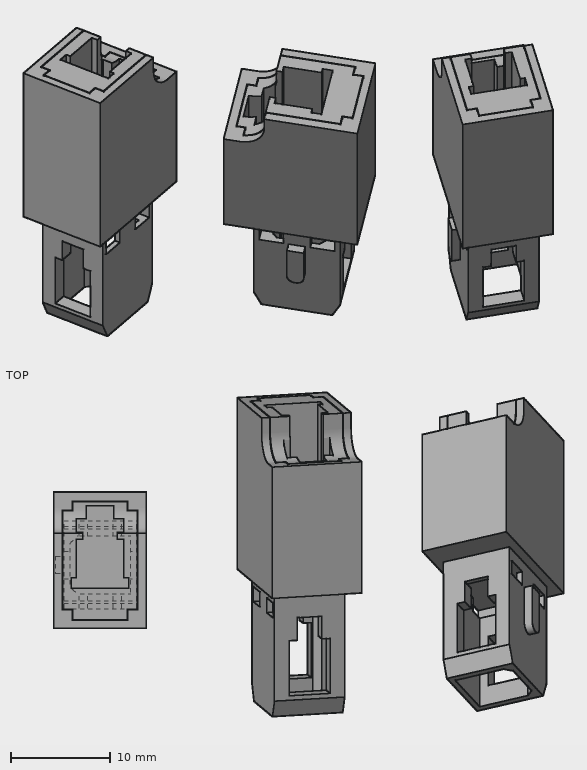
import cadquery as cq


total_height = 30.85
housing_width = 9.35
housing_depth = 13.75
housing_bottom = 13.12
housing_front = -housing_depth / 2
housing_rear = housing_depth / 2

relief_size = 4.17
relief_radius = 2.53

plug_width = 7.35
plug_depth = 8.9
plug_center_y = housing_front + 1.98 + plug_depth / 2
tip_taper_height = 1.8
tip_taper_inset = 0.8

plug_end_wall = 1.5
plug_side_wall = 0.62
cavity_corner = 0.75

window_bottom = 2.25
window_step = 7.93
window_top = 10.28
window_width = 4.25
window_neck_width = 2.55

side_window_length = 2.5
side_window_height = 1.55
side_window_spacing = 5.28
cavity_top = window_top + side_window_height

rib_width = 1.73
rib_projection = 0.85
rib_bottom = 5.35

socket_depth = housing_bottom
socket_floor = total_height - socket_depth
socket_width = 4.8
socket_front = housing_front + 4.05
socket_shoulder = housing_front + 11.05
socket_slot_width = 5.8
socket_slot_depth = 1.05
latch_width = 2.75
latch_depth = 1.33
stop_projection = 0.68
stop_thickness = 0.75
stop_front = housing_front + 8.98

clearance = 0.05
insert_width = 7.53
insert_tongue_width = 5.5
insert_front = housing_front + 0.9
insert_front_shoulder = housing_front + 1.95
insert_rear_shoulder = housing_front + 11.85
insert_rear = housing_front + 12.78


def box(width, depth, height, center_x, front, bottom):
    """Box placed by the middle of its width, its front and its bottom."""
    return (
        cq.Workplane("XY")
        .box(width, depth, height, centered=(True, False, False))
        .translate((center_x, front, bottom))
    )


def housing():
    shelf_height = total_height - relief_size
    relief_wall = housing_rear - relief_size
    profile = (
        cq.Workplane("YZ")
        .moveTo(housing_front, housing_bottom)
        .lineTo(housing_rear, housing_bottom)
        .lineTo(housing_rear, shelf_height)
        .lineTo(relief_wall + relief_radius, shelf_height)
        .radiusArc((relief_wall, shelf_height + relief_radius), relief_radius)
        .lineTo(relief_wall, total_height)
        .lineTo(housing_front, total_height)
        .close()
    )
    return profile.extrude(housing_width / 2, both=True)


def plug():
    half_depth = plug_depth / 2
    profile = (
        cq.Workplane("YZ", origin=(0, plug_center_y, 0))
        .moveTo(-half_depth + tip_taper_inset, 0)
        .lineTo(half_depth - tip_taper_inset, 0)
        .lineTo(half_depth, tip_taper_height)
        .lineTo(half_depth, housing_bottom)
        .lineTo(-half_depth, housing_bottom)
        .lineTo(-half_depth, tip_taper_height)
        .close()
    )
    return profile.extrude(plug_width / 2, both=True)


def key_rib():
    """Bar with a square top and a round bottom end."""
    radius = rib_width / 2
    profile = (
        cq.Workplane("YZ", origin=(-plug_width / 2, plug_center_y, 0))
        .moveTo(-radius, window_top)
        .lineTo(-radius, rib_bottom + radius)
        .threePointArc((0, rib_bottom), (radius, rib_bottom + radius))
        .lineTo(radius, window_top)
        .close()
    )
    return profile.extrude(-rib_projection)


def plug_cavity():
    width = plug_width - 2 * plug_side_wall
    depth = plug_depth - 2 * plug_end_wall
    cavity = box(width, depth, cavity_top, 0, plug_center_y - depth / 2, 0)
    return cavity.edges("|Z and <X").chamfer(cavity_corner)


def stepped_window():
    front = plug_center_y - plug_depth / 2
    lower = box(window_width, plug_depth, window_step - window_bottom, 0, front, window_bottom)
    neck = box(window_neck_width, plug_depth, window_top - window_bottom, 0, front, window_bottom)
    return lower.union(neck)


def side_windows():
    windows = cq.Workplane("XY")
    for side in (-1, 1):
        front = plug_center_y + side * side_window_spacing / 2 - side_window_length / 2
        windows = windows.union(
            box(plug_width, side_window_length, side_window_height, 0, front, window_top)
        )
    return windows


def socket():
    depth = socket_shoulder - socket_front
    opening = box(socket_width, depth, socket_depth, 0, socket_front, socket_floor)
    slot = box(socket_slot_width, socket_slot_depth, socket_depth, 0, socket_front, socket_floor)
    latch = box(latch_width, depth + latch_depth, socket_depth, 0, socket_front, socket_floor)
    opening = opening.union(slot).union(latch)
    for side in (-1, 1):
        center_x = side * (socket_width - stop_projection) / 2
        opening = opening.cut(
            box(stop_projection, stop_thickness, socket_depth, center_x, stop_front, socket_floor)
        )
    return opening


def insert_outline(offset):
    """Plan of the socket insert, grown outwards by the offset."""
    body_depth = insert_rear_shoulder - insert_front_shoulder
    tongue_depth = insert_rear - insert_front
    body = box(
        insert_width + 2 * offset, body_depth + 2 * offset, socket_depth,
        0, insert_front_shoulder - offset, socket_floor,
    )
    tongue = box(
        insert_tongue_width + 2 * offset, tongue_depth + 2 * offset, socket_depth,
        0, insert_front - offset, socket_floor,
    )
    return body.union(tongue)


def insert_clearance():
    return insert_outline(clearance).cut(insert_outline(0))


result = (
    housing()
    .union(plug())
    .cut(plug_cavity())
    .cut(stepped_window())
    .cut(side_windows())
    .union(key_rib())
    .cut(socket())
    .cut(insert_clearance())
)